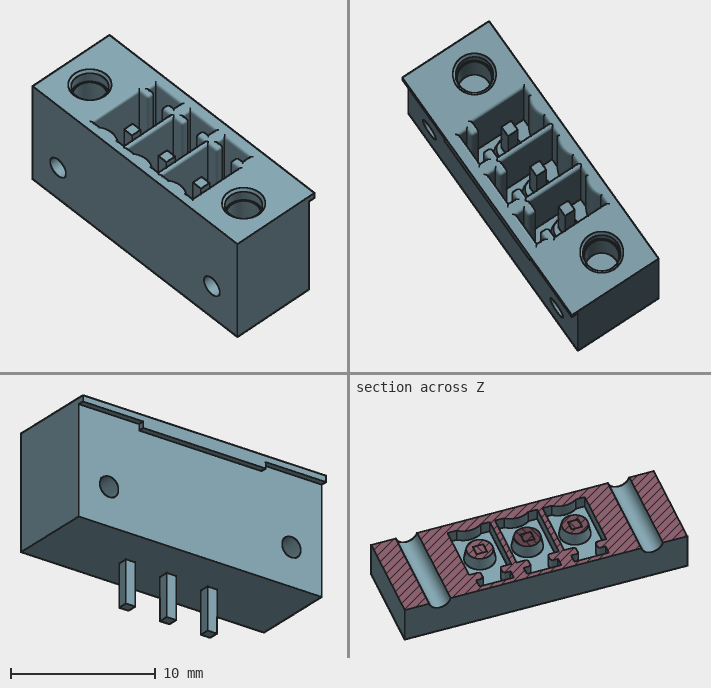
import cadquery as cq


length = 20.8
height = 9.2
front_y = -3.0
back_y = 3.76
lip_reach = 0.5
lip_height = 0.5
tab_height = 0.5

pole_count = 3
pitch = 3.5
pole_xs = [(i - (pole_count - 1) / 2) * pitch for i in range(pole_count)]
tab_length = pole_count * pitch

edge_round = 0.2
floor_z = 2.0
chamber_half = pitch / 2 - edge_round
chamber_front = -2.23
chamber_back = 2.05
neck_half = 0.7
key_half = 1.25
key_front = 2.75
key_back = 3.35
bump_half = 0.9
bump_rise = 0.3
blank_margin = 0.62
select_margin = 0.02

pin_width = 0.81
pin_below = 3.41
pin_top_z = 7.99
collar_height = 1.19
collar_base_radius = 1.1
collar_top_radius = 0.9

mount_xs = [-7.8, 7.8]
mount_radius = 2.6 / 2
mount_chamfer = 0.198
mount_depth = 4.0
sleeve_bore_radius = 2.4 / 2
sleeve_recess = 1.0
cross_hole_radius = 1.6 / 2
cross_hole_z = 3.08


def box_between(x0, x1, y0, y1, z0, z1):
    return cq.Workplane("XY").box(x1 - x0, y1 - y0, z1 - z0, centered=False).translate((x0, y0, z0))


def cylinder(x, radius, z0, z1):
    return cq.Workplane("XY", origin=(x, 0, z0)).circle(radius).extrude(z1 - z0)


def make_block():
    """Block with a lip along its upper back edge and a latch tab under the lip."""
    half = length / 2
    lip_back = back_y + lip_reach
    lip_z = height - lip_height
    block = box_between(-half, half, front_y, back_y, 0, height)
    lip = box_between(-half, half, back_y, lip_back, lip_z, height)
    tab = box_between(-tab_length / 2, tab_length / 2, back_y, lip_back, lip_z - tab_height, lip_z)
    return block.union(lip).union(tab)


def pocket_prism():
    """Straight-walled pocket, with the vertical edges of the two ribs beside the neck rounded."""
    prism = (
        cq.Workplane("XY", origin=(0, 0, floor_z))
        .moveTo(-chamber_half, chamber_front)
        .lineTo(-bump_half, chamber_front)
        .threePointArc((0, chamber_front + bump_rise), (bump_half, chamber_front))
        .lineTo(chamber_half, chamber_front)
        .lineTo(chamber_half, chamber_back)
        .lineTo(neck_half, chamber_back)
        .lineTo(neck_half, key_front)
        .lineTo(key_half, key_front)
        .lineTo(key_half, key_back)
        .lineTo(-key_half, key_back)
        .lineTo(-key_half, key_front)
        .lineTo(-neck_half, key_front)
        .lineTo(-neck_half, chamber_back)
        .lineTo(-chamber_half, chamber_back)
        .close()
        .extrude(height - floor_z)
    )
    rib_zone = cq.selectors.BoxSelector(
        (-neck_half - select_margin, chamber_back - select_margin, floor_z),
        (neck_half + select_margin, key_front + select_margin, height),
    )
    return prism.edges(rib_zone).edges("|Z").fillet(edge_round)


def make_pocket_cutter():
    """Pocket whose rim flares outward, so that it leaves rounded top edges.

    The rim is rounded on a blank that surrounds one pocket, and the cutter is what the blank lacks.
    """
    half = chamber_half + blank_margin
    blank = box_between(
        -half, half, chamber_front - blank_margin, key_back + blank_margin, floor_z - blank_margin, height
    )
    rim = cq.selectors.BoxSelector(
        (-chamber_half - select_margin, chamber_front - select_margin, height - select_margin),
        (chamber_half + select_margin, key_back + select_margin, height + select_margin),
    )
    mould = blank.cut(pocket_prism()).edges(rim).fillet(edge_round)
    return blank.cut(mould)


def make_mount_hole(x):
    """Blind hole with a chamfered mouth."""
    bore = cylinder(x, mount_radius, height - mount_depth, height)
    mouth = (
        cq.Workplane("XY", origin=(x, 0, height))
        .circle(mount_radius + mount_chamfer)
        .workplane(offset=-mount_chamfer)
        .circle(mount_radius)
        .loft()
    )
    return bore.union(mouth)


def make_cross_hole(x):
    """Hole through the block from front to back."""
    start = cq.Workplane("XZ", origin=(x, front_y, cross_hole_z))
    return start.circle(cross_hole_radius).extrude(front_y - back_y)


def make_housing():
    body = make_block()
    cutter = make_pocket_cutter()
    for x in pole_xs:
        body = body.cut(cutter.translate((x, 0, 0)))
        body = body.cut(make_pin(x))
    for x in mount_xs:
        body = body.cut(make_mount_hole(x))
        body = body.cut(make_cross_hole(x))
    return body


def make_pin(x):
    """Square contact pin that passes through the collar and the pocket floor."""
    half = pin_width / 2
    return box_between(x - half, x + half, -half, half, -pin_below, pin_top_z)


def make_collar(x):
    """Tapered collar on the pocket floor, with a square hole for the pin."""
    cone = (
        cq.Workplane("XY", origin=(x, 0, floor_z))
        .circle(collar_base_radius)
        .workplane(offset=collar_height)
        .circle(collar_top_radius)
        .loft()
    )
    return cone.cut(make_pin(x))


def make_sleeve(x):
    """Screw sleeve that stands on the bottom of the mount hole, below its mouth."""
    z0 = height - mount_depth
    z1 = height - sleeve_recess
    return cylinder(x, mount_radius, z0, z1).cut(cylinder(x, sleeve_bore_radius, z0, z1))


housing = make_housing()
pins = [make_pin(x).val() for x in pole_xs]
collars = [make_collar(x).val() for x in pole_xs]
sleeves = [make_sleeve(x).val() for x in mount_xs]

result = cq.Compound.makeCompound([housing.val(), *pins, *collars, *sleeves])